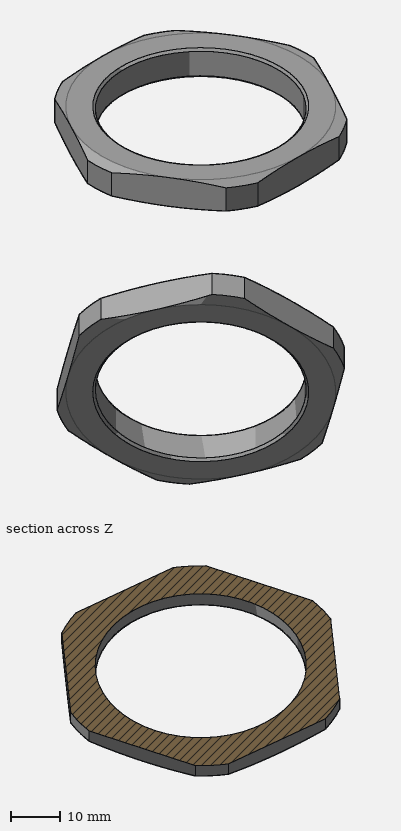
import cadquery as cq
import math

hexagon_sides = 6
across_flats = 55.0
corner_diameter = 60.0
thickness = 7.0
bore_diameter = 42.92
bore_mouth_diameter = 44.0
corner_chamfer_angle = 15.0

half_side_angle = 180 / hexagon_sides
hexagon_point_diameter = across_flats / math.cos(math.radians(half_side_angle))
face_radius = across_flats / 2
corner_radius = corner_diameter / 2
bore_radius = bore_diameter / 2
bore_mouth_radius = bore_mouth_diameter / 2
corner_chamfer_height = (corner_radius - face_radius) * math.tan(math.radians(corner_chamfer_angle))
bore_chamfer_height = bore_mouth_radius - bore_radius


def make_hexagon():
    """Hexagonal prism with points on the Y axis."""
    return (
        cq.Workplane("XY")
        .polygon(hexagon_sides, hexagon_point_diameter)
        .extrude(thickness)
        .rotate((0, 0, 0), (0, 0, 1), half_side_angle)
    )


def make_turned_ring():
    """Ring with conical outer edges and a bore chamfered at both ends."""
    profile = [
        (bore_mouth_radius, 0),
        (face_radius, 0),
        (corner_radius, corner_chamfer_height),
        (corner_radius, thickness - corner_chamfer_height),
        (face_radius, thickness),
        (bore_mouth_radius, thickness),
        (bore_radius, thickness - bore_chamfer_height),
        (bore_radius, bore_chamfer_height),
    ]
    return cq.Workplane("XZ").polyline(profile).close().revolve(360, (0, 0, 0), (0, 1, 0))


result = make_hexagon().intersect(make_turned_ring())